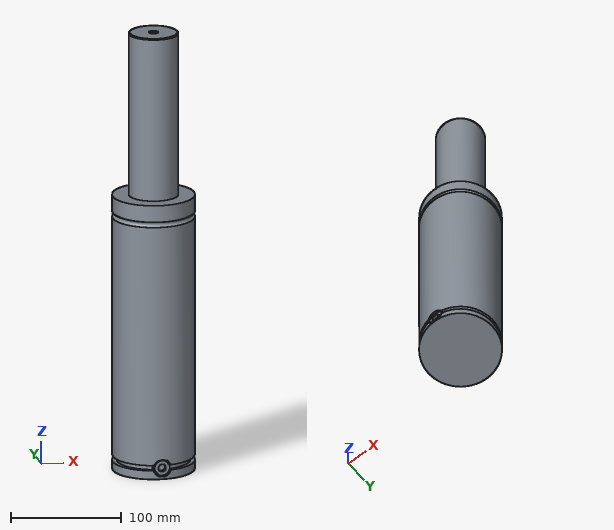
import cadquery as cq

total_height = 410.0
body_diameter = 75.0
body_height = 257.5
rod_diameter = 45.0
rod_chamfer = 1.02

upper_groove_height = 239.5
upper_groove_radius = 2.5

lower_groove_bottom = 8.0
lower_groove_width = 5.0
lower_groove_depth = 4.0

plug_height = 10.2
pocket_diameter = 16.0
pocket_depth = 7.5
plug_diameter = 14.0
plug_face_setback = 1.45
plug_hole_diameter = 7.0
plug_hole_depth = 4.0

rod_hole_diameter = 7.0
rod_hole_depth = 16.5
rod_hole_chamfer = 1.0
countersink_angle = 90
drill_tip_depth = 2.0

body_radius = body_diameter / 2
plug_face_y = plug_face_setback - body_radius
plug_length = pocket_depth - plug_face_setback


def make_body():
    """Cylinder with a rounded upper groove and a square lower groove."""
    body = cq.Workplane("XY").circle(body_radius).extrude(body_height)
    upper_groove = cq.Workplane("XY").add(
        cq.Solid.makeTorus(body_radius, upper_groove_radius, cq.Vector(0, 0, upper_groove_height))
    )
    lower_groove = (
        cq.Workplane("XY", origin=(0, 0, lower_groove_bottom))
        .circle(body_radius)
        .circle(body_radius - lower_groove_depth)
        .extrude(lower_groove_width)
    )
    return body.cut(upper_groove).cut(lower_groove)


def make_rod():
    """Piston rod with a chamfered end and a countersunk, drilled blind hole."""
    rod = (
        cq.Workplane("XY", origin=(0, 0, body_height))
        .circle(rod_diameter / 2)
        .extrude(total_height - body_height)
        .faces(">Z")
        .chamfer(rod_chamfer)
    )
    countersink_diameter = rod_hole_diameter + 2 * rod_hole_chamfer
    rod = rod.faces(">Z").workplane().cskHole(
        rod_hole_diameter, countersink_diameter, countersink_angle, rod_hole_depth
    )
    drill_tip = cq.Solid.makeCone(
        rod_hole_diameter / 2,
        0,
        drill_tip_depth,
        cq.Vector(0, 0, total_height - rod_hole_depth),
        cq.Vector(0, 0, -1),
    )
    return rod.cut(cq.Workplane("XY").add(drill_tip))


def front_cylinder(diameter, face_y, length):
    """Cylinder at plug height, running inward (+Y) from face_y."""
    plane = cq.Plane(origin=(0, face_y, plug_height), xDir=(1, 0, 0), normal=(0, 1, 0))
    return cq.Workplane(plane).circle(diameter / 2).extrude(length)


def add_plug(body):
    """Sink a round pocket into the wall and stand the plug, with its hole, on the pocket floor."""
    pocket = front_cylinder(pocket_diameter, -body_radius, pocket_depth)
    plug = front_cylinder(plug_diameter, plug_face_y, plug_length)
    plug_hole = front_cylinder(plug_hole_diameter, plug_face_y, plug_hole_depth)
    return body.cut(pocket).union(plug).cut(plug_hole)


result = add_plug(make_body()).union(make_rod())